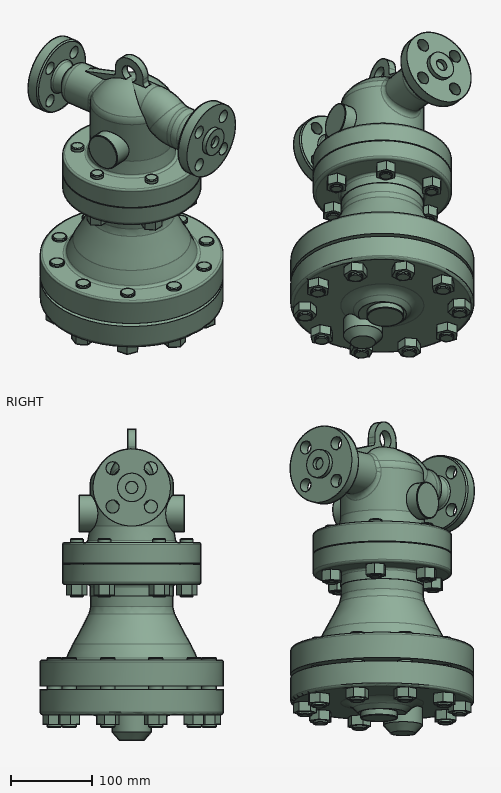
import cadquery as cq
import math


FACE_TO_FACE = 263.0
RAISED_FACE_D = 34.9
RAISED_FACE_H = 6.0
PIPE_FLANGE_D = 95.0
PIPE_FLANGE_T = 15.5
PIPE_FLANGE_CHAMFER_R = 1.5
PIPE_FLANGE_CHAMFER_X = 2.1
PIPE_BOLT_CIRCLE_D = 66.5
PIPE_BOLT_HOLE_D = 16.0
PIPE_BOLT_COUNT = 4
PIPE_BOLT_START = 45.0
BORE_D = 15.0
BORE_DEPTH = RAISED_FACE_H
HUB_D = 40.4
HUB_ROOT_D = 44.0
HUB_ROOT_L = 2.2
NECK_D = 33.6
NECK_X = 97.7
PIPE_D = 53.0
INLET_PIPE_X = 84.8
INLET_SHOULDER_X = 92.3
INLET_SHOULDER_D = 46.5
OUTLET_PIPE_X = 82.6
OUTLET_SHOULDER_X = 90.1
OUTLET_SHOULDER_D = 47.5
PIPE_INNER_X = 30.0
PIPE_BLEND_R = 7.0
SEAM_MARGIN = 1.0

BEND_START_X = 34.2
BEND_END_X = 76.7
BEND_SPLIT = 0.48

DOME_TOP_Z = 40.0
DOME_R = 58.5
BODY_D = 102.0
BODY_TOP_Z = 5.4
SKIRT_TOP_Z = -47.5
SKIRT_D = 109.0
SKIRT_FILLET = 3.5
SIDE_BOSS_D = 45.0
SIDE_BOSS_X = 6.9
SIDE_BOSS_Z = -32.1
SIDE_BOSS_SPAN = 130.0
SIDE_BOSS_CHAMFER = 0.8

LUG_R = 22.0
LUG_HOLE_D = 22.2
LUG_CENTER_Z = 49.5
LUG_T = 10.0
LUG_FOOT_R = 4.0
RIB_TIP_X = -69.0
RIB_TIP_Z = 26.3
RIB_CORNER_Z = 39.3

UPPER_FLANGE_D = 170.0
UPPER_TOP_Z = -67.8
UPPER_FLANGE_T = 25.3
UPPER_GAP = 1.0
UPPER_JOINT_D = 118.0
UPPER_BOLT_CIRCLE_D = 135.0
UPPER_BOLT_COUNT = 6
UPPER_BOLT_START = 30.0
UPPER_STUD_D = 16.0
UPPER_STUD_ABOVE = 4.9
UPPER_STUD_BELOW = 15.4
UPPER_NUT_AF = 22.2
UPPER_NUT_H = 13.0

NECK_FILLET = 3.0
NECK_STEP_Z = -133.5
LOWER_NECK_D = 100.95
CONE_TOP_Z = -150.9
CONE_TOP_BLEND_R = 20.0
CONE_END_D = 144.4
CONE_END_Z = -192.3
CONE_FOOT_D = 162.5
CONE_FOOT_FILLET = 4.5

LOWER_FLANGE_D = 225.0
LOWER_TOP_Z = -212.0
LOWER_FLANGE_T = 32.0
COVER_T = 31.0
LOWER_GAP = 4.3
LOWER_BOLT_CIRCLE_D = 190.0
LOWER_BOLT_COUNT = 10
LOWER_BOLT_START = 18.0
LOWER_STUD_D = 18.0
LOWER_STUD_ABOVE = 3.3
LOWER_STUD_BELOW = 15.2
LOWER_NUT_AF = 24.6
LOWER_NUT_H = 11.8

FLANGE_EDGE_TOP_R = 2.5
FLANGE_EDGE_BOTTOM_R = 3.5
STUD_CHAMFER = 1.2

DISH_BOTTOM_Z = -291.7
DISH_BOTTOM_D = 59.0
DISH_TOP_D = 83.8
DISH_ROOT_R = 22.0
BOTTOM_Z = -310.5
DRAIN_D = 48.0
DRAIN_X = 42.8
DRAIN_END_D = 30.4
DRAIN_TAPER_H = 9.9
PLUG_D = 45.0
PLUG_X = -6.5
PLUG_END_Z = -299.4
PLUG_CHAMFER = 0.8

TOLERANCE = 0.01

UPPER_JOINT_Z = UPPER_TOP_Z - UPPER_FLANGE_T
UPPER_MATING_Z = UPPER_JOINT_Z - UPPER_GAP
UPPER_BOTTOM_Z = UPPER_MATING_Z - UPPER_FLANGE_T
LOWER_JOINT_Z = LOWER_TOP_Z - LOWER_FLANGE_T
COVER_TOP_Z = LOWER_JOINT_Z - LOWER_GAP
COVER_BOTTOM_Z = COVER_TOP_Z - COVER_T
PIPE_R = PIPE_D / 2
BODY_R = BODY_D / 2
FACE_X = FACE_TO_FACE / 2
FLANGE_FRONT_X = FACE_X - RAISED_FACE_H
FLANGE_BACK_X = FLANGE_FRONT_X - PIPE_FLANGE_T


def disc(diameter, bottom_z, top_z, x=0.0):
    """Vertical cylinder between two levels."""
    return cq.Workplane("XY", origin=(x, 0, bottom_z)).circle(diameter / 2).extrude(top_z - bottom_z)


def fillet_circle(solid, radius, diameter, z):
    """Fillet the one horizontal circular edge with this diameter at this level."""
    def matches(edge):
        return (edge.geomType() == "CIRCLE"
                and abs(edge.radius() - diameter / 2) < TOLERANCE
                and abs(edge.Center().z - z) < TOLERANCE)
    return solid.edges().filter(matches).fillet(radius)


def arc_mid(center, radius, start_angle, end_angle):
    """Middle point of an arc, angles in radians from the first plane axis."""
    angle = (start_angle + end_angle) / 2
    return (center[0] + radius * math.cos(angle), center[1] + radius * math.sin(angle))


def make_bonnet_body():
    """Domed cylinder with a flared skirt standing on the upper flange."""
    sphere_z = DOME_TOP_Z - DOME_R
    rise = BODY_TOP_Z - sphere_z
    corner_r = (DOME_R ** 2 - BODY_R ** 2 - rise ** 2) / (2 * (DOME_R - BODY_R))
    corner = (BODY_R - corner_r, BODY_TOP_Z)
    tangent_angle = math.atan2(rise, corner[0])
    tangent = (DOME_R * math.cos(tangent_angle), sphere_z + DOME_R * math.sin(tangent_angle))
    return (
        cq.Workplane("XZ")
        .moveTo(0, UPPER_TOP_Z)
        .lineTo(SKIRT_D / 2, UPPER_TOP_Z)
        .lineTo(BODY_R, SKIRT_TOP_Z)
        .lineTo(BODY_R, BODY_TOP_Z)
        .threePointArc(arc_mid(corner, corner_r, 0, tangent_angle), tangent)
        .threePointArc(arc_mid((0, sphere_z), DOME_R, tangent_angle, math.pi / 2), (0, DOME_TOP_Z))
        .close()
        .revolve(360, (0, 0), (0, 1))
    )


def make_nozzle(inner_x, pipe_x, shoulder_x, shoulder_d):
    """Flanged weld-neck nozzle on +X, with plain pipe running in to inner_x."""
    neck_r = NECK_D / 2
    shoulder_drop = PIPE_R - shoulder_d / 2
    shoulder_run = shoulder_x - pipe_x
    rounding_r = (shoulder_run ** 2 + shoulder_drop ** 2) / (2 * shoulder_drop)
    rounding_center = (pipe_x, PIPE_R - rounding_r)
    rounding_end = math.pi / 2 - math.asin(shoulder_run / rounding_r)
    flange_r = PIPE_FLANGE_D / 2
    profile = (
        cq.Workplane("XY")
        .moveTo(inner_x, 0)
        .lineTo(inner_x, PIPE_R)
        .lineTo(pipe_x, PIPE_R)
        .threePointArc(
            arc_mid(rounding_center, rounding_r, rounding_end, math.pi / 2),
            (shoulder_x, shoulder_d / 2),
        )
        .lineTo(NECK_X, neck_r)
        .lineTo(FLANGE_BACK_X - HUB_ROOT_L, HUB_D / 2)
        .tangentArcPoint((FLANGE_BACK_X, HUB_ROOT_D / 2), relative=False)
        .lineTo(FLANGE_BACK_X, flange_r - PIPE_FLANGE_CHAMFER_R)
        .lineTo(FLANGE_BACK_X + PIPE_FLANGE_CHAMFER_X, flange_r)
        .lineTo(FLANGE_FRONT_X, flange_r)
        .lineTo(FLANGE_FRONT_X, RAISED_FACE_D / 2)
        .lineTo(FACE_X, RAISED_FACE_D / 2)
        .lineTo(FACE_X, 0)
        .close()
    )
    bolt_holes = (
        cq.Workplane("YZ", origin=(FLANGE_BACK_X, 0, 0))
        .polarArray(PIPE_BOLT_CIRCLE_D / 2, PIPE_BOLT_START, 360, PIPE_BOLT_COUNT)
        .circle(PIPE_BOLT_HOLE_D / 2)
        .extrude(PIPE_FLANGE_T)
    )
    bore = cq.Workplane("YZ", origin=(FACE_X - BORE_DEPTH, 0, 0)).circle(BORE_D / 2).extrude(BORE_DEPTH)
    return profile.revolve(360, (0, 0), (1, 0)).cut(bolt_holes).cut(bore)


def make_outlet_bend():
    """S-shaped pipe from the level of the dome top down to the nozzle centre line."""
    start_z = DOME_TOP_Z - PIPE_R
    run = BEND_END_X - BEND_START_X
    angle = 2 * math.atan(start_z / run)
    radius_sum = run / math.sin(angle)
    first_r = BEND_SPLIT * radius_sum
    second_r = radius_sum - first_r
    first_center = (BEND_START_X, start_z - first_r)
    second_center = (BEND_END_X, second_r)
    up = math.pi / 2
    middle = (
        first_center[0] + first_r * math.sin(angle),
        first_center[1] + first_r * math.cos(angle),
    )
    path = (
        cq.Workplane("XZ")
        .moveTo(0, start_z)
        .lineTo(BEND_START_X, start_z)
        .threePointArc(arc_mid(first_center, first_r, up, up - angle), middle)
        .threePointArc(arc_mid(second_center, second_r, -up - angle, -up), (BEND_END_X, 0))
    )
    return cq.Workplane("YZ", origin=(0, 0, start_z)).circle(PIPE_R).sweep(path)


def make_side_bosses():
    """Plugged ports on the front and back of the bonnet, made as one cross bar."""
    return (
        cq.Workplane("XZ", origin=(SIDE_BOSS_X, SIDE_BOSS_SPAN / 2, SIDE_BOSS_Z))
        .circle(SIDE_BOSS_D / 2)
        .extrude(SIDE_BOSS_SPAN)
        .faces("<Y or >Y")
        .chamfer(SIDE_BOSS_CHAMFER)
    )


def make_lug():
    """Lifting eye with a rib sloping down to the inlet pipe."""
    foot_end = (LUG_R + LUG_FOOT_R, DOME_TOP_Z)
    foot_mid = arc_mid(
        (LUG_R + LUG_FOOT_R, DOME_TOP_Z + LUG_FOOT_R), LUG_FOOT_R, math.pi, 3 * math.pi / 2
    )
    slope = math.atan2(RIB_CORNER_Z - RIB_TIP_Z, -LUG_R - RIB_TIP_X)
    tangent_length = LUG_FOOT_R * math.tan((math.pi / 2 - slope) / 2)
    rib_end = (
        -LUG_R - tangent_length * math.cos(slope),
        RIB_CORNER_Z - tangent_length * math.sin(slope),
    )
    return (
        cq.Workplane("XZ", origin=(0, LUG_T / 2, 0))
        .moveTo(RIB_TIP_X, RIB_TIP_Z)
        .lineTo(*rib_end)
        .tangentArcPoint((-LUG_R, RIB_CORNER_Z + tangent_length), relative=False)
        .lineTo(-LUG_R, LUG_CENTER_Z)
        .threePointArc((0, LUG_CENTER_Z + LUG_R), (LUG_R, LUG_CENTER_Z))
        .lineTo(LUG_R, DOME_TOP_Z + LUG_FOOT_R)
        .threePointArc(foot_mid, foot_end)
        .lineTo(LUG_R, 0)
        .lineTo(RIB_TIP_X, 0)
        .close()
        .extrude(LUG_T)
    )


def make_lug_hole():
    return (
        cq.Workplane("XZ", origin=(0, LUG_T / 2, LUG_CENTER_Z)).circle(LUG_HOLE_D / 2).extrude(LUG_T)
    )


def blend_inlet(body):
    """Fillet the seam where the inlet pipe enters the bonnet."""
    reach = PIPE_R + SEAM_MARGIN
    seam = cq.selectors.BoxSelector(
        (-BODY_R - SEAM_MARGIN, -reach, -reach), (-PIPE_INNER_X, reach, reach), boundingbox=True
    )
    return body.edges(seam).fillet(PIPE_BLEND_R)


def make_bonnet():
    """Bonnet with both nozzles, side ports, lifting eye and its flange."""
    inlet = make_nozzle(PIPE_INNER_X, INLET_PIPE_X, INLET_SHOULDER_X, INLET_SHOULDER_D)
    inlet = inlet.rotate((0, 0, 0), (0, 0, 1), 180)
    body = blend_inlet(make_bonnet_body().union(inlet))
    outlet = make_nozzle(BEND_END_X, OUTLET_PIPE_X, OUTLET_SHOULDER_X, OUTLET_SHOULDER_D)
    outlet = outlet.union(make_outlet_bend())
    flange = disc(UPPER_FLANGE_D, UPPER_JOINT_Z, UPPER_TOP_Z).edges(">Z").fillet(FLANGE_EDGE_TOP_R)
    base = body.union(flange)
    base = fillet_circle(base, SKIRT_FILLET, SKIRT_D, UPPER_TOP_Z)
    lug = make_lug().cut(make_lug_hole())
    return base.union(outlet).union(make_side_bosses()).union(lug)


def make_conical_body():
    """Neck and cone between the upper and lower flange pairs, with one flange of each."""
    cone = (
        cq.Workplane("XZ")
        .moveTo(0, UPPER_BOTTOM_Z)
        .lineTo(BODY_R, UPPER_BOTTOM_Z)
        .lineTo(BODY_R, NECK_STEP_Z)
        .lineTo(LOWER_NECK_D / 2, NECK_STEP_Z)
        .lineTo(LOWER_NECK_D / 2, CONE_TOP_Z)
        .lineTo(CONE_END_D / 2, CONE_END_Z)
        .tangentArcPoint((CONE_FOOT_D / 2, LOWER_TOP_Z), relative=False)
        .lineTo(0, LOWER_TOP_Z)
        .close()
        .revolve(360, (0, 0), (0, 1))
    )
    upper = disc(UPPER_FLANGE_D, UPPER_BOTTOM_Z, UPPER_MATING_Z).edges("<Z").fillet(FLANGE_EDGE_BOTTOM_R)
    lower = disc(LOWER_FLANGE_D, LOWER_JOINT_Z, LOWER_TOP_Z).edges(">Z").fillet(FLANGE_EDGE_TOP_R)
    body = cone.union(upper).union(lower)
    body = fillet_circle(body, NECK_FILLET, BODY_D, UPPER_BOTTOM_Z)
    body = fillet_circle(body, CONE_TOP_BLEND_R, LOWER_NECK_D, CONE_TOP_Z)
    return fillet_circle(body, CONE_FOOT_FILLET, CONE_FOOT_D, LOWER_TOP_Z)


def frustum(top_d, top_z, bottom_d, bottom_z, x=0.0):
    """Vertical truncated cone between two levels."""
    return (
        cq.Workplane("XY", origin=(x, 0, top_z))
        .circle(top_d / 2)
        .workplane(offset=bottom_z - top_z)
        .circle(bottom_d / 2)
        .loft()
    )


def make_cover():
    """Bottom flange with a dished centre, a drain boss and a plug boss underneath."""
    flange = disc(LOWER_FLANGE_D, COVER_BOTTOM_Z, COVER_TOP_Z).edges("<Z").fillet(FLANGE_EDGE_BOTTOM_R)
    dish = frustum(DISH_TOP_D, COVER_BOTTOM_Z, DISH_BOTTOM_D, DISH_BOTTOM_Z)
    cover = fillet_circle(flange.union(dish), DISH_ROOT_R, DISH_TOP_D, COVER_BOTTOM_Z)
    taper_z = BOTTOM_Z + DRAIN_TAPER_H
    drain = disc(DRAIN_D, taper_z, COVER_BOTTOM_Z, DRAIN_X)
    drain = drain.union(frustum(DRAIN_D, taper_z, DRAIN_END_D, BOTTOM_Z, DRAIN_X))
    plug = disc(PLUG_D, PLUG_END_Z, COVER_BOTTOM_Z, PLUG_X).edges("<Z").chamfer(PLUG_CHAMFER)
    return cover.union(drain).union(plug)


def make_bolting(circle_d, start, count, stud_d, stud_bottom, stud_top, nut_af, nut_top, nut_h):
    """Ring of studs with a hexagon nut, one corner pointing outward, under each."""
    nut_across_corners = nut_af / math.cos(math.pi / 6)
    studs = (
        cq.Workplane("XY", origin=(0, 0, stud_bottom))
        .polarArray(circle_d / 2, start, 360, count)
        .circle(stud_d / 2)
        .extrude(stud_top - stud_bottom)
        .faces("<Z or >Z")
        .chamfer(STUD_CHAMFER)
    )
    nuts = (
        cq.Workplane("XY", origin=(0, 0, nut_top - nut_h))
        .polarArray(circle_d / 2, start, 360, count)
        .polygon(6, nut_across_corners)
        .extrude(nut_h)
    )
    return studs.union(nuts)


upper_joint = disc(UPPER_JOINT_D, UPPER_MATING_Z, UPPER_JOINT_Z)
lower_joint = disc(CONE_FOOT_D, COVER_TOP_Z, LOWER_JOINT_Z)
upper_bolting = make_bolting(
    UPPER_BOLT_CIRCLE_D, UPPER_BOLT_START, UPPER_BOLT_COUNT,
    UPPER_STUD_D, UPPER_BOTTOM_Z - UPPER_STUD_BELOW, UPPER_TOP_Z + UPPER_STUD_ABOVE,
    UPPER_NUT_AF, UPPER_BOTTOM_Z, UPPER_NUT_H,
)
lower_bolting = make_bolting(
    LOWER_BOLT_CIRCLE_D, LOWER_BOLT_START, LOWER_BOLT_COUNT,
    LOWER_STUD_D, COVER_BOTTOM_Z - LOWER_STUD_BELOW, LOWER_TOP_Z + LOWER_STUD_ABOVE,
    LOWER_NUT_AF, COVER_BOTTOM_Z, LOWER_NUT_H,
)

result = (
    make_bonnet()
    .union(upper_joint)
    .union(make_conical_body())
    .union(lower_joint)
    .union(make_cover())
    .union(upper_bolting)
    .union(lower_bolting)
)